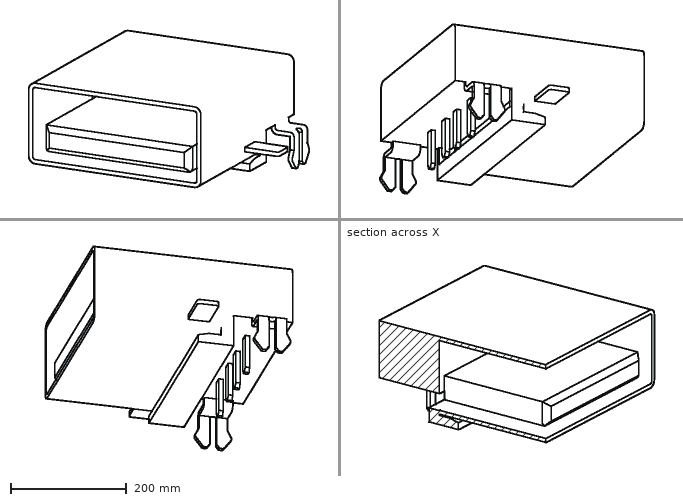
import cadquery as cq


shell_width = 333.7
shell_depth = 353.3
overall_height = 182.5
shell_height = 145.5
sheet = 8.0
corner_radius = 13.0
half_width = shell_width / 2

floor_end = 225.5
notch_front = 247.7
notch_height = 38.5

foot_bottom = -19.0
foot_front = 185.0
foot_lip_top = -5.5
foot_ramp_end = 203.5
foot_gap = 1.0

tongue_width = 283.5
tongue_bottom = 20.0
tongue_height = 47.5
tongue_front = 7.5
tongue_bottom_radius = 8.5
tongue_chamfer_length = 10.0
tongue_side_taper = 11.0
tongue_height_taper = 9.8

pin_width = 16.0
pin_thickness = 8.0
pin_positions = (-89.0, -25.0, 25.0, 89.0)
pin_y = 291.0
pin_shoulder = -22.0
pin_bottom = -29.7
pin_tip_width = 6.5

strap_top = 29.5
wing_span = 465.0
wing_front = 166.5
wing_length = 38.0
wing_corner_radius = 4.5

strap_middle = 307.5
strap_width = 51.0
strap_bend_radius = 4.0
leg_outer = 203.0
slot_width = 12.0
hook_top = -2.5
hook_nose = -17.5
hook_nose_radius = 5.5
hook_reach = 33.5
hook_tip_outer = 18.0
hook_tip_inner = 11.0
hook_tip_rise = 6.5
leg_bottom = shell_height - overall_height


def box(x0, x1, y0, y1, z0, z1):
    return cq.Workplane("XY").box(x1 - x0, y1 - y0, z1 - z0, centered=False).translate((x0, y0, z0))


def rounded_bar(width, height, length, radius):
    """Bar along +Y with rounded long edges, standing on Z = 0."""
    return (
        cq.Workplane("XY")
        .box(width, length, height, centered=(True, False, False))
        .edges("|Y")
        .fillet(radius)
    )


def make_shell():
    inside = rounded_bar(
        shell_width - 2 * sheet, shell_height - 2 * sheet, shell_depth, corner_radius - sheet
    ).translate((0, 0, sheet))
    shell = rounded_bar(shell_width, shell_height, shell_depth, corner_radius).cut(inside)
    rear_opening = box(-half_width, half_width, notch_front, shell_depth, 0, notch_height)
    floor_opening = box(-half_width, half_width, floor_end, notch_front, 0, corner_radius)
    return shell.cut(rear_opening).cut(floor_opening)


def make_body():
    """Block that closes the rear of the shell."""
    inner = half_width - sheet
    return box(-inner, inner, floor_end, shell_depth, notch_height, shell_height - sheet)


def make_foot():
    """Full-width foot strip and the two wall strips that carry it."""
    foot = (
        cq.Workplane("YZ")
        .moveTo(foot_front, foot_bottom)
        .lineTo(notch_front, foot_bottom)
        .lineTo(notch_front, sheet)
        .lineTo(floor_end, sheet)
        .lineTo(floor_end, -foot_gap)
        .lineTo(foot_ramp_end, -foot_gap)
        .lineTo(foot_front, foot_lip_top)
        .close()
        .extrude(half_width, both=True)
    )
    wall = box(half_width - sheet, half_width, floor_end, notch_front, foot_bottom, notch_height)
    return foot.union(wall).union(wall.mirror("YZ"))


def make_tongue():
    length = floor_end - tongue_front
    straight = (
        cq.Workplane("XY")
        .box(tongue_width, length, tongue_height, centered=(True, False, False))
        .edges("|Y and <Z")
        .fillet(tongue_bottom_radius)
    )
    envelope = (
        cq.Workplane("XZ")
        .center(0, tongue_height / 2)
        .rect(tongue_width - 2 * tongue_side_taper, tongue_height - 2 * tongue_height_taper)
        .workplane(offset=-tongue_chamfer_length)
        .rect(tongue_width, tongue_height)
        .loft()
    )
    half = tongue_width / 2
    envelope = envelope.union(box(-half, half, tongue_chamfer_length, length, 0, tongue_height))
    return straight.intersect(envelope).translate((0, tongue_front, tongue_bottom))


def make_pin(x):
    half = pin_width / 2
    half_tip = pin_tip_width / 2
    return (
        cq.Workplane("XZ")
        .polyline(
            [
                (-half, notch_height + sheet),
                (-half, pin_shoulder),
                (-half_tip, pin_bottom),
                (half_tip, pin_bottom),
                (half, pin_shoulder),
                (half, notch_height + sheet),
            ]
        )
        .close()
        .extrude(pin_thickness / 2, both=True)
        .translate((x, pin_y, 0))
    )


def make_wing():
    """Flat wing on the +X side."""
    return (
        box(
            half_width - sheet,
            wing_span / 2,
            wing_front,
            wing_front + wing_length,
            strap_top - sheet,
            strap_top,
        )
        .edges("|Z and >X")
        .fillet(wing_corner_radius)
    )


def make_leg_outline():
    """Strap and both hooks in the YZ plane, extruded across the strap's reach."""
    half = strap_width / 2
    inner = slot_width / 2
    rear_half = (
        cq.Workplane("YZ")
        .polyline(
            [
                (0, notch_height),
                (half, notch_height),
                (half, hook_top),
                (hook_reach, hook_nose),
                (hook_tip_outer, leg_bottom),
                (hook_tip_inner, leg_bottom),
                (inner, leg_bottom + hook_tip_rise),
                (inner, strap_top - sheet),
                (0, strap_top - sheet),
            ]
        )
        .close()
        .extrude(leg_outer)
        .edges("|X and >Y")
        .fillet(hook_nose_radius)
    )
    return rear_half.union(rear_half.mirror("XZ")).translate((0, strap_middle, 0))


def make_snap_leg():
    """Strap bent out of the +X wall and down into a slotted snap leg."""
    wall_inner = half_width - sheet
    outer_bend = strap_bend_radius + sheet
    strap_bottom = strap_top - sheet
    leg_inner = leg_outer - sheet
    strip = (
        cq.Workplane("XZ")
        .moveTo(wall_inner, notch_height)
        .lineTo(half_width, notch_height)
        .lineTo(half_width, strap_top + strap_bend_radius)
        .radiusArc((half_width + strap_bend_radius, strap_top), -strap_bend_radius)
        .lineTo(leg_inner, strap_top)
        .radiusArc((leg_outer, strap_bottom), sheet)
        .lineTo(leg_outer, leg_bottom)
        .lineTo(leg_inner, leg_bottom)
        .lineTo(leg_inner, strap_bottom)
        .lineTo(wall_inner + outer_bend, strap_bottom)
        .radiusArc((wall_inner, strap_bottom + outer_bend), outer_bend)
        .close()
        .extrude(-shell_depth)
    )
    slot_end = (
        cq.Workplane("XY")
        .center(leg_inner + slot_width, strap_middle)
        .slot2D(2 * slot_width, slot_width)
        .extrude(strap_top)
    )
    return strip.intersect(make_leg_outline()).cut(slot_end)


result = make_shell().union(make_body()).union(make_foot()).union(make_tongue())
for pin_x in pin_positions:
    result = result.union(make_pin(pin_x))
for side_part in (make_wing(), make_snap_leg()):
    result = result.union(side_part).union(side_part.mirror("YZ"))